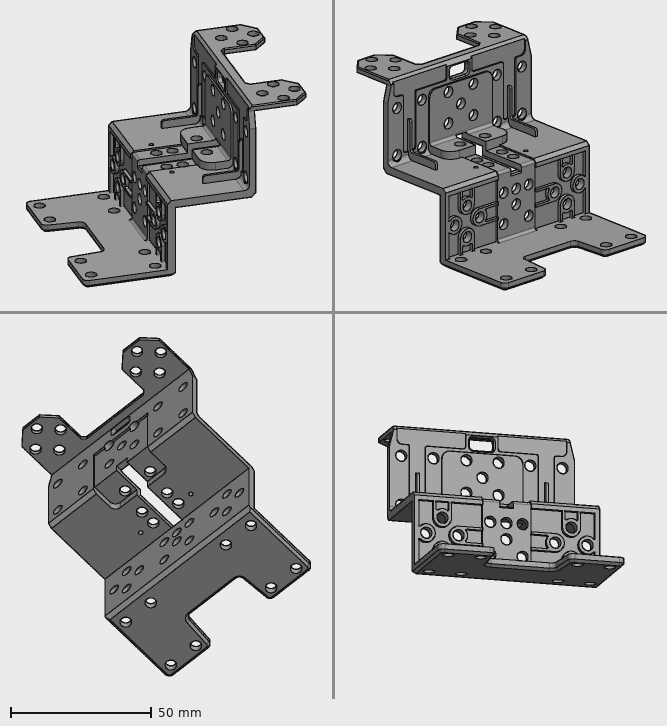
import cadquery as cq

WIDTH = 69.0
DEPTH = 85.0
HEIGHT = 62.2
HALF_WIDTH = WIDTH / 2

OUTER_HOLE_SPAN = 60.0
PITCH = OUTER_HOLE_SPAN / 10
HOLE_DIA = 4.1
PIN_HOLE_DIA = 1.5
GRID_Y0 = 4.0
GRID_Z0 = 15.05

THICK = 3.0
UPPER_THICK = 2.3
UPPER_FLANGE_THICK = 2.0
LOWER_WALL_Y = 31.2
UPPER_WALL_Y = 61.9
SHELF_Z = 30.0
LOWER_WALL_BACK = LOWER_WALL_Y + THICK
UPPER_WALL_BACK = UPPER_WALL_Y + UPPER_THICK
SHELF_BOTTOM = SHELF_Z - THICK
UPPER_FLANGE_BOTTOM = HEIGHT - UPPER_FLANGE_THICK

BEND_CHAMFER = 1.6
SHELF_FRONT_CHAMFER = 1.4
SHELF_FILLET = 2.0

LOWER_CORNER_RADIUS = 2.0
LOWER_RIM_CHAMFER = 1.0
NOTCH_DEPTH = 15.0
NOTCH_INNER_HALF = 12.75
NOTCH_OUTER_HALF = 13.85
TAB_HALF_WIDTH = 8.9
TAB_X = 4 * PITCH
TAB_CHAMFER = 4.9
TAB_ROOT_Y = 67.1
TAB_ROOT_CHAMFER = 1.4
UPPER_RIM_CHAMFER = 0.4
UPPER_HALF_WIDTH = TAB_X + TAB_HALF_WIDTH
TAPER_START_Z = 54.0

RECESS = 0.6
LOWER_POCKET_DEPTH = 1.4
STRIP_HALF = 9.0
STRIP_RADIUS = 1.0
SLOT_WIDTH = 5.0
SLOT_TOP = 33.6
SLOT_LIP_CHAMFER = 0.5

POCKET_MARGIN = 1.7
POCKET_TOP = 27.0
BOSS_RADIUS = 3.3
BOSS_TIE = 4.6
CELL_WIDTH = 4.9
CELL_OFFSET = 2.6
BOTTOM_CELL_OFFSET = 3.0
POCKET_FOOT_RADIUS = 0.3
CELL_RADIUS = 0.7

BAR_OUTER_X = 31.6
BAR_INNER_X = 6.0
BAR_BOTTOM = 55.3
STEM_BOTTOM = 33.0
BAR_OUTER_RADIUS = 2.0
BAR_INNER_RADIUS = 1.0
STEM_RADIUS = 1.2
SHOULDER_RADIUS = 0.7

PAD_HALF = 15.05
PAD_RISE = 0.8
PAD_TOP = 54.0
PAD_CORNER = 3.0
FOOT_FRONT = 50.6
FOOT_Z = 33.0
FOOT_CORNER = 4.7
PAD_FILLET = 1.1
RIB_WIDTH = 1.0
RIB_TOP = 45.2
RIB_FRONT = 47.7
RIB_END_RADIUS = 1.0

WINDOW_HALF = 4.5
WINDOW_BOTTOM = 55.2
WINDOW_TOP = 59.9
WINDOW_CORNER = 1.45
WINDOW_CHAMFER = 0.5

HOLLOW_RIM = 2.0
HOLLOW_HALF = PAD_HALF - HOLLOW_RIM
HOLLOW_FRONT = FOOT_FRONT + HOLLOW_RIM
HOLLOW_CORNER = FOOT_CORNER - HOLLOW_RIM
HOLLOW_CEILING = FOOT_Z - (THICK - RECESS)
HOLLOW_TOP = PAD_TOP - HOLLOW_RIM

RELIEF_DIA = 4.7

SLACK = 0.01


def block(x0, x1, y0, y1, z0, z1):
    return cq.Workplane("XY").box(x1 - x0, y1 - y0, z1 - z0, centered=False).translate((x0, y0, z0))


def mirrored(solid):
    return solid.union(solid.mirror("YZ"))


def wall_plane(y):
    """Upright plane at the given Y, with local x along X and local y along Z."""
    return cq.Workplane("XZ", origin=(0, y, 0))


def along_y(sketch, length):
    """Extrude an outline on a wall plane toward +Y."""
    return sketch.extrude(-length)


def cylinders_y(points, dia, y0, y1):
    return along_y(wall_plane(y0).pushPoints(points).circle(dia / 2), y1 - y0)


def cylinders_z(points, dia, z0, z1):
    return cq.Workplane("XY").workplane(offset=z0).pushPoints(points).circle(dia / 2).extrude(z1 - z0)


def both_sides(points):
    return [(side * x, v) for x, v in points for side in (-1, 1)]


def corner_fillet(x0, x1, wall_y, floor_z, radius):
    """Concave fillet between a wall's front face and the floor in front of it."""
    return (
        cq.Workplane("YZ", origin=(x0, 0, 0))
        .moveTo(wall_y, floor_z)
        .lineTo(wall_y, floor_z + radius)
        .radiusArc((wall_y - radius, floor_z), radius)
        .close()
        .extrude(x1 - x0)
    )


def stepped_sheet():
    c, s = BEND_CHAMFER, SHELF_FRONT_CHAMFER
    r = SHELF_FILLET
    profile = (
        cq.Workplane("YZ", origin=(-HALF_WIDTH, 0, 0))
        .moveTo(0, 0)
        .lineTo(LOWER_WALL_BACK - c, 0)
        .lineTo(LOWER_WALL_BACK, c)
        .lineTo(LOWER_WALL_BACK, SHELF_BOTTOM)
        .lineTo(UPPER_WALL_BACK - c, SHELF_BOTTOM)
        .lineTo(UPPER_WALL_BACK, SHELF_BOTTOM + c)
        .lineTo(UPPER_WALL_BACK, UPPER_FLANGE_BOTTOM)
        .lineTo(DEPTH, UPPER_FLANGE_BOTTOM)
        .lineTo(DEPTH, HEIGHT)
        .lineTo(UPPER_WALL_Y + c, HEIGHT)
        .lineTo(UPPER_WALL_Y, HEIGHT - c)
        .lineTo(UPPER_WALL_Y, SHELF_Z + r)
        .radiusArc((UPPER_WALL_Y - r, SHELF_Z), r)
        .lineTo(LOWER_WALL_Y + s, SHELF_Z)
        .lineTo(LOWER_WALL_Y, SHELF_Z - s)
        .lineTo(LOWER_WALL_Y, THICK)
        .lineTo(0, THICK)
        .close()
    )
    return profile.extrude(WIDTH)


def trim_lower_flange(body):
    """Cut the front notch, round the corners and chamfer the underside rim."""
    notch = (
        cq.Workplane("XY")
        .polyline([(-NOTCH_OUTER_HALF, 0), (-NOTCH_INNER_HALF, NOTCH_DEPTH),
                   (NOTCH_INNER_HALF, NOTCH_DEPTH), (NOTCH_OUTER_HALF, 0)])
        .close()
        .extrude(THICK)
    )
    body = body.cut(notch)
    flange_zone = cq.selectors.BoxSelector((-WIDTH, -SLACK, 0), (WIDTH, NOTCH_DEPTH + SLACK, THICK))
    body = body.edges("|Z").edges(flange_zone).fillet(LOWER_CORNER_RADIUS)
    return body.faces("<Z").edges("not >Y").chamfer(LOWER_RIM_CHAMFER)


def trim_upper_flange(body):
    """Shape the two tabs, taper the wall ends up to them and chamfer the top rim."""
    inner = TAB_X - TAB_HALF_WIDTH
    outer = UPPER_HALF_WIDTH
    half_outline = [
        (0, UPPER_WALL_Y), (outer, UPPER_WALL_Y), (outer, DEPTH - TAB_CHAMFER),
        (outer - TAB_CHAMFER, DEPTH), (inner + TAB_CHAMFER, DEPTH), (inner, DEPTH - TAB_CHAMFER),
        (inner, TAB_ROOT_Y + TAB_ROOT_CHAMFER), (inner - TAB_ROOT_CHAMFER, TAB_ROOT_Y), (0, TAB_ROOT_Y),
    ]
    half_flange = (
        cq.Workplane("XY", origin=(0, 0, UPPER_FLANGE_BOTTOM))
        .polyline(half_outline)
        .close()
        .extrude(UPPER_FLANGE_THICK)
    )
    flange_zone = block(-HALF_WIDTH, HALF_WIDTH, UPPER_WALL_Y, DEPTH, UPPER_FLANGE_BOTTOM, HEIGHT)
    body = body.cut(flange_zone.cut(mirrored(half_flange)))
    taper_outline = [
        (HALF_WIDTH, TAPER_START_Z), (outer, UPPER_FLANGE_BOTTOM), (HALF_WIDTH, UPPER_FLANGE_BOTTOM),
    ]
    taper = along_y(wall_plane(UPPER_WALL_Y).polyline(taper_outline).close(), UPPER_THICK)
    body = body.cut(mirrored(taper))
    return body.faces(">Z").edges("not <Y").chamfer(UPPER_RIM_CHAMFER)


def recessed_strip():
    """Material removed to sink a strip that runs down the shelf front and the lower wall."""
    top = SHELF_Z - RECESS
    face = LOWER_WALL_Y + RECESS
    f = STRIP_RADIUS
    return (
        cq.Workplane("YZ", origin=(-STRIP_HALF, 0, 0))
        .moveTo(UPPER_WALL_Y - SHELF_FILLET, SHELF_Z)
        .lineTo(UPPER_WALL_Y - SHELF_FILLET, top)
        .lineTo(face + f, top)
        .radiusArc((face, top - f), -f)
        .lineTo(face, THICK)
        .lineTo(LOWER_WALL_Y, THICK)
        .lineTo(LOWER_WALL_Y, SHELF_Z)
        .close()
        .extrude(2 * STRIP_HALF)
    )


def lower_wall_pocket():
    """Right-hand pocket of the lower wall, leaving hole bosses and hollow ties standing."""
    y0 = LOWER_WALL_Y
    y1 = LOWER_WALL_Y + LOWER_POCKET_DEPTH
    x_out = HALF_WIDTH - POCKET_MARGIN
    pocket = block(STRIP_HALF, x_out, y0, y1, THICK, POCKET_TOP)
    cx, cz = TAB_X, GRID_Z0
    r, cell = BOSS_RADIUS, CELL_WIDTH / 2
    bosses = [(cx, cz + PITCH), (cx, cz - PITCH), (cx - PITCH, cz), (cx + PITCH, cz)]
    rings = cylinders_y(bosses, 2 * r, y0, y1)
    ties = (
        block(cx - r, cx + r, y0, y1, cz + PITCH, POCKET_TOP)
        .union(block(cx - r, cx + r, y0, y1, THICK, cz - PITCH))
        .union(block(STRIP_HALF, cx - PITCH, y0, y1, cz - r, cz + r))
        .union(block(cx + PITCH, x_out, y0, y1, cz - BOSS_TIE / 2, cz + BOSS_TIE / 2))
    )
    top_cell = block(cx - cell, cx + cell, y0, y1, cz + PITCH + CELL_OFFSET, POCKET_TOP)
    bottom_cell = block(cx - cell, cx + cell, y0, y1, THICK, cz - PITCH - BOTTOM_CELL_OFFSET)
    side_cell = block(STRIP_HALF, cx - PITCH - CELL_OFFSET, y0, y1, cz - cell, cz + cell)
    cells = (
        top_cell.edges("|Y and <Z").fillet(CELL_RADIUS)
        .union(bottom_cell.edges("|Y and >Z").fillet(CELL_RADIUS))
        .union(side_cell.edges("|Y and >X").fillet(CELL_RADIUS))
    )
    pocket = pocket.cut(ties.cut(cells)).cut(rings)
    return pocket.edges("|Y").edges("<Z").fillet(POCKET_FOOT_RADIUS)


def upper_wall_pocket():
    """Right-hand T-shaped pocket of the upper wall, open at the top bend."""
    y1 = UPPER_WALL_Y + RECESS
    bar = block(BAR_INNER_X, BAR_OUTER_X, UPPER_WALL_Y, y1, BAR_BOTTOM, HEIGHT - BEND_CHAMFER + RECESS)
    bar = bar.edges("|Y and <Z and >X").fillet(BAR_OUTER_RADIUS)
    bar = bar.edges("|Y and <Z and <X").fillet(BAR_INNER_RADIUS)
    half = PITCH / 2
    stem = block(TAB_X - half, TAB_X + half, UPPER_WALL_Y, y1, STEM_BOTTOM, BAR_BOTTOM)
    stem = stem.edges("|Y and <Z").fillet(STEM_RADIUS)
    shoulders = cq.selectors.BoxSelector(
        (TAB_X - half - SLACK, UPPER_WALL_Y, BAR_BOTTOM - SLACK),
        (TAB_X + half + SLACK, y1, BAR_BOTTOM + SLACK))
    return bar.union(stem).edges("|Y").edges(shoulders).fillet(SHOULDER_RADIUS)


def raised_pad():
    front = UPPER_WALL_Y - PAD_RISE
    plate = block(-PAD_HALF, PAD_HALF, front, UPPER_WALL_Y + RECESS, SHELF_Z, PAD_TOP)
    plate = plate.edges("|Y and >Z").fillet(PAD_CORNER)
    foot = block(-PAD_HALF, PAD_HALF, FOOT_FRONT, UPPER_WALL_Y, SHELF_Z - RECESS, FOOT_Z)
    foot = foot.edges("|Z and <Y").fillet(FOOT_CORNER)
    return plate.union(foot).union(corner_fillet(-PAD_HALF, PAD_HALF, front, FOOT_Z, PAD_FILLET))


def corner_rib():
    front = UPPER_WALL_Y - PAD_RISE
    x0 = TAB_X - RIB_WIDTH / 2
    x1 = TAB_X + RIB_WIDTH / 2
    upright = block(x0, x1, front, UPPER_WALL_Y + RECESS, SHELF_Z, RIB_TOP)
    upright = upright.edges("|X and >Z and <Y").fillet(RIB_END_RADIUS)
    foot = block(x0, x1, RIB_FRONT, UPPER_WALL_Y, SHELF_Z, FOOT_Z)
    foot = foot.edges("|X and >Z and <Y").fillet(RIB_END_RADIUS)
    return upright.union(foot).union(corner_fillet(x0, x1, front, FOOT_Z, PAD_FILLET))


def center_slot():
    half = SLOT_WIDTH / 2
    slot = block(-half, half, LOWER_WALL_Y, UPPER_WALL_BACK, SHELF_BOTTOM, SLOT_TOP)
    face = LOWER_WALL_Y + RECESS
    lip = (
        cq.Workplane("YZ", origin=(-half, 0, 0))
        .polyline([(face, SHELF_BOTTOM), (face + SLOT_LIP_CHAMFER, SHELF_BOTTOM),
                   (face, SHELF_BOTTOM - SLOT_LIP_CHAMFER)])
        .close()
        .extrude(SLOT_WIDTH)
    )
    return slot.union(lip)


def window():
    """Rounded opening in the upper wall with a chamfered front rim."""
    c = WINDOW_CHAMFER
    opening = block(-WINDOW_HALF, WINDOW_HALF, UPPER_WALL_Y, UPPER_WALL_BACK, WINDOW_BOTTOM, WINDOW_TOP)
    rim = block(-WINDOW_HALF - c, WINDOW_HALF + c, UPPER_WALL_Y, UPPER_WALL_Y + c,
                WINDOW_BOTTOM - c, WINDOW_TOP + c)
    rim = rim.edges("|Y").fillet(WINDOW_CORNER + c).faces(">Y").chamfer(c - SLACK)
    return opening.edges("|Y").fillet(WINDOW_CORNER).union(rim)


def pad_hollow():
    """Recess behind the pad that keeps the sheet thickness even."""
    under = block(-HOLLOW_HALF, HOLLOW_HALF, HOLLOW_FRONT, UPPER_WALL_BACK, SHELF_BOTTOM, HOLLOW_CEILING)
    under = under.edges("|Z and <Y").fillet(HOLLOW_CORNER)
    behind = block(-HOLLOW_HALF, HOLLOW_HALF, UPPER_WALL_BACK - PAD_RISE, UPPER_WALL_BACK,
                   SHELF_BOTTOM, HOLLOW_TOP)
    return under.union(behind)


def holes():
    p = PITCH
    lower_flange = both_sides([(x * p, GRID_Y0 + row * p) for x in (3, 5) for row in (0, 4)])
    tab_y = GRID_Y0 + 12 * p
    tabs = both_sides([(3 * p, tab_y), (5 * p, tab_y), (4 * p, tab_y - p), (4 * p, tab_y + p)])
    shelf = both_sides([(p, GRID_Y0 + row * p) for row in (6, 7, 8.5)])
    pins = both_sides([(2 * p, GRID_Y0 + 6 * p)])
    bosses = both_sides([(4 * p, GRID_Z0 + p), (4 * p, GRID_Z0 - p), (3 * p, GRID_Z0), (5 * p, GRID_Z0)])
    strip = both_sides([(p, GRID_Z0 + p), (p, GRID_Z0 - p)]) + [(0, GRID_Z0), (0, GRID_Z0 + p)]
    low_row = both_sides([(3 * p, GRID_Z0 + 3 * p), (5 * p, GRID_Z0 + 3 * p)])
    high_row = both_sides([(3 * p, GRID_Z0 + 6 * p), (5 * p, GRID_Z0 + 6 * p)])
    pad = both_sides([(p, GRID_Z0 + 6 * p), (p, GRID_Z0 + 4 * p)]) + [(0, GRID_Z0 + 5 * p)]
    return [
        cylinders_z(lower_flange, HOLE_DIA, 0, THICK),
        cylinders_z(tabs, HOLE_DIA, UPPER_FLANGE_BOTTOM, HEIGHT),
        cylinders_z(shelf, HOLE_DIA, SHELF_BOTTOM, FOOT_Z),
        cylinders_z(pins, PIN_HOLE_DIA, SHELF_BOTTOM, SHELF_Z),
        cylinders_y(bosses + strip, HOLE_DIA, LOWER_WALL_Y, LOWER_WALL_BACK),
        cylinders_y(low_row + high_row + pad, HOLE_DIA, UPPER_WALL_Y - PAD_RISE, UPPER_WALL_BACK),
        cylinders_y(low_row, RELIEF_DIA, UPPER_WALL_Y - SHELF_FILLET, UPPER_WALL_Y),
    ]


result = trim_upper_flange(trim_lower_flange(stepped_sheet()))
result = result.cut(recessed_strip())
result = result.union(corner_fillet(-STRIP_HALF, STRIP_HALF, LOWER_WALL_Y + RECESS, THICK, STRIP_RADIUS))
result = result.cut(mirrored(lower_wall_pocket()))
result = result.cut(mirrored(upper_wall_pocket()))
result = result.union(raised_pad()).union(mirrored(corner_rib()))
result = result.cut(center_slot()).cut(window()).cut(pad_hollow())
for hole_set in holes():
    result = result.cut(hole_set)